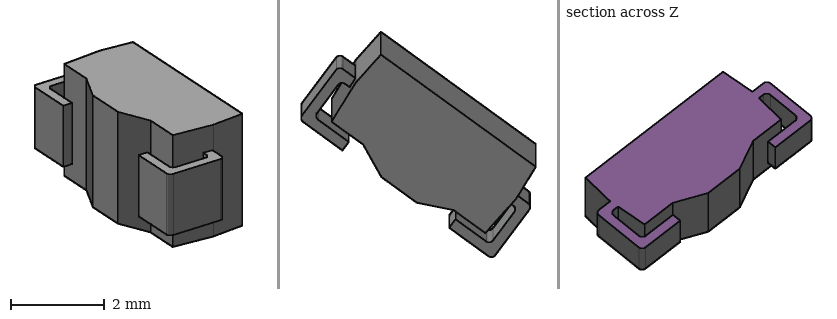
import cadquery as cq
import math


overall_length = 5.11
body_top = 2.25
body_width = 2.67

parting_half_length = 2.12
parting_height = 1.435
draft_angle = 5.0
shoulder_height = 0.455
nose_height = 0.12
nose_base_half_length = 1.2
nose_tip_half_length = 0.47

terminal_width = 1.46
terminal_thickness = 0.23
terminal_top = 1.425
foot_length = 1.145
bend_radius = 0.1
terminal_embed = 0.1


def drafted_half_length(height):
    """Half-length of the body ends, which taper away from the parting line."""
    taper = math.tan(math.radians(draft_angle))
    return parting_half_length - abs(height - parting_height) * taper


def extrude_centred(profile, width):
    """Extrude a closed XY profile by equal amounts on both sides of Z = 0."""
    return profile.extrude(width / 2, both=True)


def make_body():
    """Body with drafted ends and a tapered nose towards the seating plane."""
    right_side = [
        (nose_tip_half_length, nose_height),
        (nose_base_half_length, shoulder_height),
        (drafted_half_length(shoulder_height), shoulder_height),
        (parting_half_length, parting_height),
        (drafted_half_length(body_top), body_top),
    ]
    left_side = [(-x, y) for x, y in reversed(right_side)]
    profile = cq.Workplane("XY").polyline(right_side + left_side).close()
    return extrude_centred(profile, body_width)


def make_right_terminal():
    """C-shaped strip: out of the body end, down, and back under the body."""
    outer_x = overall_length / 2
    inner_x = outer_x - terminal_thickness
    foot_end = outer_x - foot_length
    root = parting_half_length - terminal_embed
    arm_bottom = terminal_top - terminal_thickness
    profile = (
        cq.Workplane("XY")
        .moveTo(foot_end, 0)
        .lineTo(outer_x, 0)
        .lineTo(outer_x, terminal_top)
        .lineTo(root, terminal_top)
        .lineTo(root, arm_bottom)
        .lineTo(inner_x, arm_bottom)
        .lineTo(inner_x, terminal_thickness)
        .lineTo(foot_end, terminal_thickness)
        .close()
    )
    strip = extrude_centred(profile, terminal_width)
    outer_bends = strip.edges("|Z and >X")
    inner_bends = strip.edges(
        cq.selectors.BoxSelector(
            (inner_x - bend_radius, 0, -terminal_width),
            (inner_x + bend_radius, terminal_top, terminal_width),
        )
    ).edges("|Z")
    return strip.newObject(outer_bends.vals() + inner_bends.vals()).fillet(bend_radius)


right_terminal = make_right_terminal()
left_terminal = right_terminal.mirror("YZ")
result = make_body().union(right_terminal).union(left_terminal)